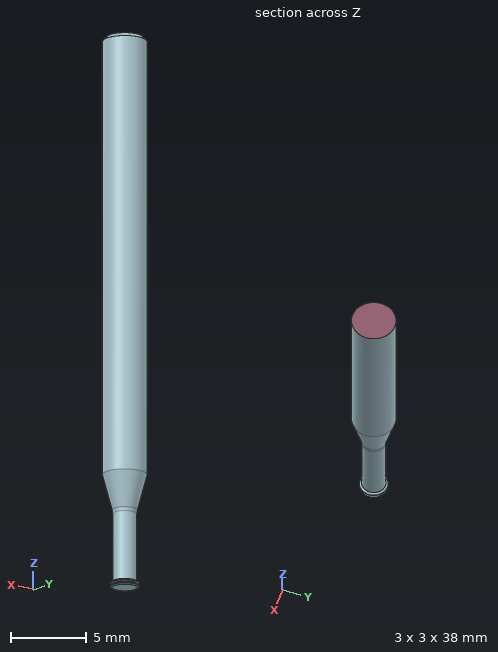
import cadquery as cq
import math

overall_length = 38.0
shank_diameter = 3.0
shank_bottom = 7.79
shank_chamfer = 0.3

neck_diameter = 1.63
taper_angle = math.radians(15)
taper_blend_radius = 1.0

crest_diameter = 1.94
root_diameter = 1.71
ridge_count = 2
ridge_pitch = 0.22
crest_width = 0.04
flank_angle = math.radians(30)

shank_radius = shank_diameter / 2
neck_radius = neck_diameter / 2
crest_radius = crest_diameter / 2
root_radius = root_diameter / 2


def flank_height(inner_radius):
    """Axial length of a ridge flank running from inner_radius out to the crest."""
    return (crest_radius - inner_radius) * math.tan(flank_angle)


def blend_point(angle, bottom):
    """Point (radius, z) on the blend arc that leaves the neck tangentially at z = bottom."""
    radius = neck_radius + taper_blend_radius * (1 - math.cos(angle))
    return (radius, bottom + taper_blend_radius * math.sin(angle))


def add_ridges(profile):
    """Draw the head outline from the tip up to the neck."""
    root_flank = flank_height(root_radius)
    for index in range(ridge_count):
        ridge_bottom = index * ridge_pitch
        crest_bottom = ridge_bottom + root_flank
        crest_top = crest_bottom + crest_width
        profile = profile.lineTo(root_radius, ridge_bottom)
        profile = profile.lineTo(crest_radius, crest_bottom)
        profile = profile.lineTo(crest_radius, crest_top)
        is_last = index == ridge_count - 1
        upper_radius = neck_radius if is_last else root_radius
        profile = profile.lineTo(upper_radius, crest_top + flank_height(upper_radius))
    return profile


def add_neck_and_taper(profile):
    """Draw the neck, the arc tangent to neck and taper, and the taper itself."""
    blend_top_radius = blend_point(taper_angle, 0)[0]
    blend_top = shank_bottom - (shank_radius - blend_top_radius) / math.tan(taper_angle)
    blend_bottom = blend_top - taper_blend_radius * math.sin(taper_angle)
    profile = profile.lineTo(neck_radius, blend_bottom)
    profile = profile.threePointArc(
        blend_point(taper_angle / 2, blend_bottom),
        blend_point(taper_angle, blend_bottom),
    )
    return profile.lineTo(shank_radius, shank_bottom)


def add_shank(profile):
    """Draw the shank and its chamfered upper end, finishing on the axis."""
    profile = profile.lineTo(shank_radius, overall_length - shank_chamfer)
    profile = profile.lineTo(shank_radius - shank_chamfer, overall_length)
    return profile.lineTo(0, overall_length)


def make_tool():
    """Revolve the half profile (radius, z) about the Z axis."""
    profile = cq.Workplane("XZ").moveTo(0, 0)
    profile = add_ridges(profile)
    profile = add_neck_and_taper(profile)
    profile = add_shank(profile)
    return profile.close().revolve(360, (0, 0), (0, 1))


result = make_tool()